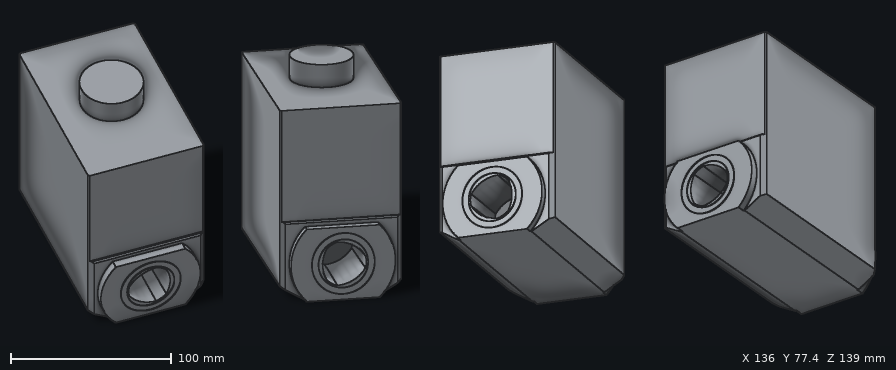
import cadquery as cq
import math

base_length = 124.0
upper_length = 120.0
block_width = 77.4
block_height = 124.0
base_height = 51.0
step_chamfer = 1.0
corner_chamfer = 3.0
bottom_flat_width = 48.0
bottom_slope_angle = 30.0

post_diameter = 40.0
post_height = 15.0

flange_diameter = 66.5
flange_height = 47.6
flange_thickness = 5.5
port_z = flange_height / 2

ring_outer_diameter = 40.0
ring_inner_diameter = 31.6
ring_height = 0.5

lobe_count = 3
lobe_radius = 14.7
side_radius = 13.1
lobe_half_angle = 15.5
port_depth = 40.0
port_taper = 1.0

flange_face_x = base_length / 2 + flange_thickness


def make_block():
    """Stepped block with chamfered upright corners and sloped bottom edges."""
    body = (
        cq.Workplane("XY")
        .box(base_length, block_width, block_height, centered=(True, True, False))
        .edges("|Z")
        .chamfer(corner_chamfer)
    )

    base_half = base_length / 2
    upper_half = upper_length / 2
    end_profile = (
        cq.Workplane("XZ")
        .moveTo(-base_half, 0)
        .lineTo(base_half, 0)
        .lineTo(base_half, base_height - step_chamfer)
        .lineTo(base_half - step_chamfer, base_height)
        .lineTo(upper_half, base_height)
        .lineTo(upper_half, block_height)
        .lineTo(-upper_half, block_height)
        .lineTo(-upper_half, base_height)
        .lineTo(-base_half + step_chamfer, base_height)
        .lineTo(-base_half, base_height - step_chamfer)
        .close()
        .extrude(block_width / 2, both=True)
    )

    half_width = block_width / 2
    bottom_half = bottom_flat_width / 2
    slope_height = (half_width - bottom_half) * math.tan(math.radians(bottom_slope_angle))
    cross_section = (
        cq.Workplane("YZ")
        .moveTo(-bottom_half, 0)
        .lineTo(bottom_half, 0)
        .lineTo(half_width, slope_height)
        .lineTo(half_width, block_height)
        .lineTo(-half_width, block_height)
        .lineTo(-half_width, slope_height)
        .close()
        .extrude(base_length / 2, both=True)
    )
    return body.intersect(end_profile).intersect(cross_section)


def make_post():
    """Round post standing on the centre of the top face."""
    return (
        cq.Workplane("XY")
        .workplane(offset=block_height)
        .circle(post_diameter / 2)
        .extrude(post_height)
    )


def port_plane(x, outward):
    """Plane on the port axis at distance x; its local x axis points along -Y."""
    return cq.Workplane(cq.Plane(origin=(x, 0, port_z), xDir=(0, -1, 0), normal=(outward, 0, 0)))


def make_flange(end):
    """Flange and sealing ring on the end at -X (end = -1) or +X (end = 1)."""
    mounting_face = port_plane(end * base_length / 2, end)
    disc = mounting_face.circle(flange_diameter / 2).extrude(flange_thickness)
    flats = mounting_face.rect(flange_diameter, flange_height).extrude(flange_thickness)
    ring = (
        port_plane(end * flange_face_x, end)
        .circle(ring_outer_diameter / 2)
        .circle(ring_inner_diameter / 2)
        .extrude(ring_height)
    )
    return disc.intersect(flats).union(ring)


def polar(radius, angle):
    """Point at the given radius and angle in degrees from the port axis."""
    return (radius * math.cos(math.radians(angle)), radius * math.sin(math.radians(angle)))


def make_port(end):
    """Cutter for the lobed port, with one lobe pointing along -Y."""
    pitch = 360.0 / lobe_count
    half_pitch = pitch / 2
    outline = port_plane(end * flange_face_x, -end).moveTo(*polar(lobe_radius, -lobe_half_angle))
    for lobe in range(lobe_count):
        angle = lobe * pitch
        lobe_end = polar(lobe_radius, angle + lobe_half_angle)
        next_lobe_start = polar(lobe_radius, angle + pitch - lobe_half_angle)
        outline = outline.threePointArc(polar(lobe_radius, angle), lobe_end)
        outline = outline.threePointArc(polar(side_radius, angle + half_pitch), next_lobe_start)
    return outline.close().extrude(port_depth, taper=port_taper)


result = make_block().union(make_post())
for end in (-1, 1):
    result = result.union(make_flange(end)).cut(make_port(end))